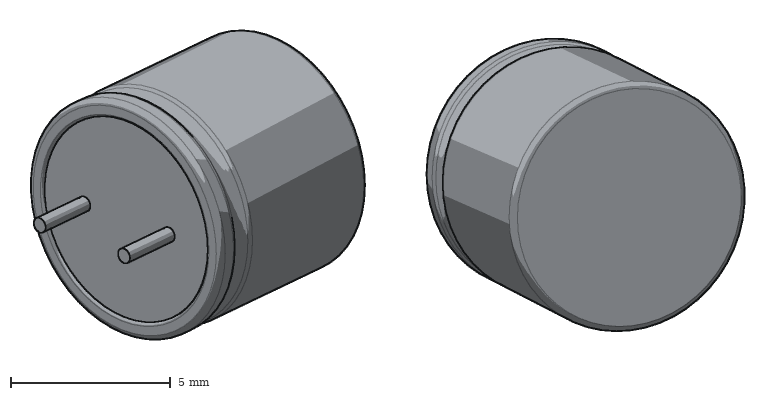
import cadquery as cq
import math


total_length = 9.03
can_diameter = 8.0
can_length = 7.0
can_radius = can_diameter / 2
edge_radius = 0.2

groove_center_y = 1.05
groove_mouth = 0.7
groove_depth = 0.2
groove_radius = ((groove_mouth / 2) ** 2 + groove_depth ** 2) / (2 * groove_depth)
groove_center_r = can_radius - groove_depth + groove_radius
groove_blend_radius = 0.2

base_diameter = 6.8
base_thickness = 0.2
base_setback = 0.1
rim_radius = 0.1

lead_diameter = 0.5
lead_spacing = 3.5
lead_tip_y = can_length - total_length


def disc(diameter, start_y, end_y):
    """Cylinder on the Y axis from start_y to end_y."""
    plane = cq.Workplane("XZ", origin=(0, start_y, 0))
    return plane.circle(diameter / 2).extrude(start_y - end_y)


def make_groove_cutter():
    """Ring that cuts the groove and the convex blends on both sides of it."""
    center_distance = groove_radius + groove_blend_radius
    blend_center_r = can_radius - groove_blend_radius
    blend_offset = math.sqrt(center_distance ** 2 - (groove_center_r - blend_center_r) ** 2)
    touch_offset = blend_offset * groove_radius / center_distance
    touch_r = groove_center_r - (groove_center_r - blend_center_r) * groove_radius / center_distance

    half_angle = math.asin(blend_offset / center_distance) / 2
    blend_mid_offset = blend_offset - groove_blend_radius * math.sin(half_angle)
    blend_mid_r = blend_center_r + groove_blend_radius * math.cos(half_angle)

    profile = (
        cq.Workplane("XY")
        .moveTo(can_radius, groove_center_y - blend_offset)
        .threePointArc(
            (blend_mid_r, groove_center_y - blend_mid_offset),
            (touch_r, groove_center_y - touch_offset),
        )
        .threePointArc(
            (can_radius - groove_depth, groove_center_y),
            (touch_r, groove_center_y + touch_offset),
        )
        .threePointArc(
            (blend_mid_r, groove_center_y + blend_mid_offset),
            (can_radius, groove_center_y + blend_offset),
        )
        .close()
    )
    return profile.revolve(360, (0, 0, 0), (0, 1, 0))


def make_can():
    """Can with rounded ends, a rolled groove and a recess for the base."""
    can = disc(can_diameter, 0, can_length)
    can = can.edges("%CIRCLE").fillet(edge_radius)
    can = can.cut(disc(base_diameter, 0, base_setback + base_thickness))
    can = can.faces("<Y").edges(cq.selectors.RadiusNthSelector(0)).fillet(rim_radius)
    return can.cut(make_groove_cutter())


def make_base():
    """Disc that fills the inner part of the recess in the can."""
    return disc(base_diameter, base_setback, base_setback + base_thickness)


def make_lead(x):
    """Round lead standing on the outer face of the base."""
    return disc(lead_diameter, lead_tip_y, base_setback).translate((x, 0, 0))


can = make_can()
base = make_base()
leads = [make_lead(side * lead_spacing / 2) for side in (-1, 1)]

result = cq.Compound.makeCompound([can.val(), base.val(), *[lead.val() for lead in leads]])